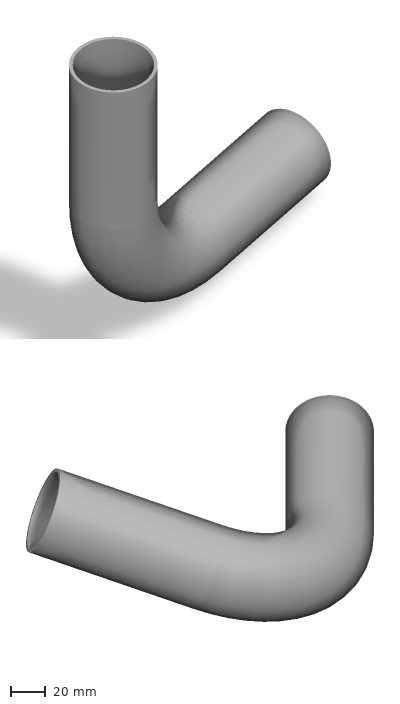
import cadquery as cq

OUTER_DIAMETER = 50.8
WALL = 2.11
BEND_RADIUS = 76.2
LEG_LENGTH = 101.6
BEND_ANGLE = 90

INNER_DIAMETER = OUTER_DIAMETER - 2 * WALL


def tube_section(plane):
    """Ring-shaped cross-section of the tube on the given plane."""
    return cq.Workplane(plane).circle(OUTER_DIAMETER / 2).circle(INNER_DIAMETER / 2)


vertical_start = cq.Plane(origin=(0, 0, BEND_RADIUS), xDir=(1, 0, 0), normal=(0, 0, 1))
horizontal_start = cq.Plane(origin=(0, BEND_RADIUS, 0), xDir=(1, 0, 0), normal=(0, 1, 0))

vertical_leg = tube_section(vertical_start).extrude(LEG_LENGTH)
horizontal_leg = tube_section(horizontal_start).extrude(LEG_LENGTH)

bend = tube_section(vertical_start).revolve(
    BEND_ANGLE, (0, BEND_RADIUS, 0), (1, BEND_RADIUS, 0)
)

result = vertical_leg.union(bend).union(horizontal_leg)